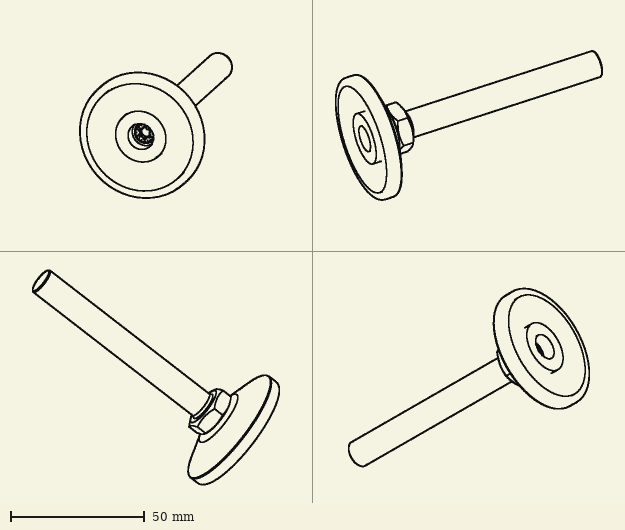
import cadquery as cq
import math


foot_radius = 24.0
foot_height = 10.25
foot_top_radius = 11.2
rim_height = 4.6
rim_bevel_height = 0.4
rim_bevel_width = 0.15
rim_fillet = 1.3
pocket_radius = 20.9
pocket_depth = 4.8
hub_radius = 9.9
hub_recess = 1.0
floor_fillet = 0.5
socket_radius = 5.0
socket_depth = 5.25

hex_sides = 6
hex_flats = 17.0
hex_corner_radius = hex_flats / 2 / math.cos(math.pi / hex_sides)
hex_bottom = 11.5
hex_top = 17.75
hex_bottom_land_radius = 8.2
hex_top_land_radius = 7.5
hex_chamfer_angle = 30.0
hex_chamfer_slope = math.tan(math.radians(hex_chamfer_angle))

bolt_end = 97.5
shaft_radius = 5.15
shaft_end_chamfer = 0.4
flare_radius = 5.6
flare_height = 1.2
neck_radius = 2.0

button_radius = 4.1
button_face_radius = 3.55
button_height = 0.5
notch_count = 16
notch_inner_radius = 3.0
notch_depth = 0.4
notch_half_angle = 8.0
drive_lobe_radius = 2.53
drive_valley_radius = 1.82
drive_depth = 2.0
drive_cone_angle = 30.0
lobe_count = 6
lobe_shoulder_radius = 2.25
lobe_half_angle = 14.0

socket_floor = hub_recess + socket_depth
button_face = socket_floor - button_height


def turned(points):
    """Revolve a closed outline of (Y, radius) points about the Y axis."""
    return cq.Workplane("YZ").polyline(points).close().revolve(360, (0, 0, 0), (1, 0, 0))


def cylinder(radius, y_from, y_to):
    return turned([(y_from, 0), (y_to, 0), (y_to, radius), (y_from, radius)])


def foot_outline():
    """Half section of the plate: cone, rim, then back along the underside to the neck hole."""
    rim_setback = rim_fillet * (1 - math.sqrt(0.5))
    floor_setback = floor_fillet * (1 - math.sqrt(0.5))
    rim_arc_mid = (rim_setback, foot_radius - rim_setback)
    wall_arc_mid = (pocket_depth - floor_setback, pocket_radius - floor_setback)
    hub_arc_mid = (pocket_depth - floor_setback, hub_radius + floor_setback)
    return (
        cq.Workplane("YZ")
        .moveTo(foot_height, neck_radius)
        .lineTo(foot_height, foot_top_radius)
        .lineTo(rim_height + rim_bevel_height, foot_radius - rim_bevel_width)
        .lineTo(rim_height, foot_radius)
        .lineTo(rim_fillet, foot_radius)
        .threePointArc(rim_arc_mid, (0, foot_radius - rim_fillet))
        .lineTo(0, pocket_radius)
        .lineTo(pocket_depth - floor_fillet, pocket_radius)
        .threePointArc(wall_arc_mid, (pocket_depth, pocket_radius - floor_fillet))
        .lineTo(pocket_depth, hub_radius + floor_fillet)
        .threePointArc(hub_arc_mid, (pocket_depth - floor_fillet, hub_radius))
        .lineTo(hub_recess, hub_radius)
        .lineTo(hub_recess, socket_radius)
        .lineTo(socket_floor, socket_radius)
        .lineTo(socket_floor, neck_radius)
        .close()
    )


def make_foot():
    return foot_outline().revolve(360, (0, 0, 0), (1, 0, 0))


def make_hex_collar():
    """Hexagon with corners on the X axis, both ends chamfered by cones."""
    bottom_drop = (hex_corner_radius - hex_bottom_land_radius) * hex_chamfer_slope
    top_drop = (hex_corner_radius - hex_top_land_radius) * hex_chamfer_slope
    prism = (
        cq.Workplane("XZ", origin=(0, hex_top, 0))
        .polygon(hex_sides, 2 * hex_corner_radius)
        .extrude(hex_top - hex_bottom)
    )
    chamfer_envelope = turned([
        (hex_bottom, 0),
        (hex_bottom, hex_bottom_land_radius),
        (hex_bottom + bottom_drop, hex_corner_radius),
        (hex_top - top_drop, hex_corner_radius),
        (hex_top, hex_top_land_radius),
        (hex_top, 0),
    ])
    return prism.intersect(chamfer_envelope)


def make_drive_recess():
    """Six-lobed recess with a conical bottom."""

    def polar(radius, degrees):
        angle = math.radians(degrees)
        return (radius * math.cos(angle), radius * math.sin(angle))

    pitch = 360 / lobe_count
    first_lobe = 90
    outline = cq.Workplane("XZ", origin=(0, button_face, 0)).moveTo(
        *polar(lobe_shoulder_radius, first_lobe - lobe_half_angle)
    )
    for lobe in range(lobe_count):
        middle = first_lobe + lobe * pitch
        outline = outline.threePointArc(
            polar(drive_lobe_radius, middle), polar(lobe_shoulder_radius, middle + lobe_half_angle)
        ).threePointArc(
            polar(drive_valley_radius, middle + pitch / 2),
            polar(lobe_shoulder_radius, middle + pitch - lobe_half_angle),
        )
    lobes = outline.close().extrude(-drive_depth)
    cone_start = button_face + drive_depth
    cone_height = drive_valley_radius * math.tan(math.radians(drive_cone_angle))
    cone = turned([
        (cone_start, 0),
        (cone_start, drive_valley_radius),
        (cone_start + cone_height, 0),
    ])
    return lobes.union(cone)


def make_notch():
    """V groove pointing at the axis: a tetrahedron that widens and deepens outward from its apex."""
    half_width = button_radius * math.tan(math.radians(notch_half_angle))
    apex = cq.Vector(0, button_face, notch_inner_radius)
    left = cq.Vector(-half_width, button_face, button_radius)
    right = cq.Vector(half_width, button_face, button_radius)
    bottom = cq.Vector(0, button_face + notch_depth, button_radius)
    triangles = [
        (apex, left, right),
        (apex, right, bottom),
        (apex, bottom, left),
        (left, bottom, right),
    ]
    faces = [cq.Face.makeFromWires(cq.Wire.makePolygon(corners, close=True)) for corners in triangles]
    return cq.Workplane(cq.Solid.makeSolid(cq.Shell.makeShell(faces)))


def make_button():
    """Conical button on the socket floor, with V grooves around its face."""
    button = turned([
        (socket_floor, 0),
        (socket_floor, button_radius),
        (button_face, button_face_radius),
        (button_face, 0),
    ])
    notch = make_notch()
    for index in range(notch_count):
        button = button.cut(notch.rotate((0, 0, 0), (0, 1, 0), index * 360 / notch_count))
    return button


def make_bolt():
    shaft = turned([
        (hex_top, 0),
        (hex_top, flare_radius),
        (hex_top + flare_height, shaft_radius),
        (bolt_end - shaft_end_chamfer, shaft_radius),
        (bolt_end, shaft_radius - shaft_end_chamfer),
        (bolt_end, 0),
    ])
    neck = cylinder(neck_radius, socket_floor, hex_bottom)
    bolt = make_hex_collar().union(shaft).union(neck).union(make_button())
    return bolt.cut(make_drive_recess())


foot = make_foot()
bolt = make_bolt()

result = cq.Compound.makeCompound([foot.solids().val(), bolt.solids().val()])